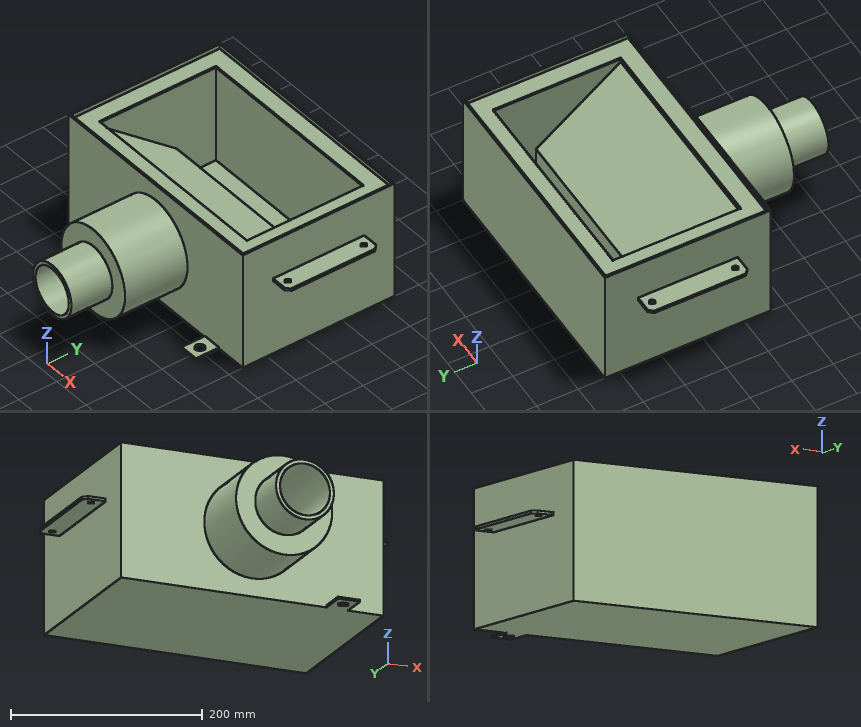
import cadquery as cq

box_length = 300.0
box_depth = 200.0
box_height = 150.0
sheet = 2.0

frame_drop = 6.0
frame_border = 23.0
frame_top = box_height - frame_drop
frame_bottom = frame_top - sheet

overall_length = 350
tab_reach = (overall_length - box_length) / 2
tab_width = 120.0
tab_thickness = 3.0
tab_top = 100.0
tab_chamfer = 5.0
tab_hole_diameter = 6.5
tab_hole_spacing = 100.0
tab_hole_inset = 12.5

lug_width = 25.0
lug_reach = 30.8
lug_thickness = sheet
lug_centre_x = 97.0
lug_hole_diameter = 11.2
lug_hole_reach = 15.8

cavity_length = box_length - 2 * frame_border
cavity_depth = box_depth - 2 * frame_border
cavity_floor = 19.0
step_distance = 51.8
step_height = 40.2
ramp_rise = 78.8

outlet_height = box_height / 2
sleeve_diameter = 110.0
sleeve_length = 82.2
pipe_diameter = 66.0
pipe_bore = 57.0
overall_depth = 336
pipe_length = overall_depth - box_depth

front_y = -box_depth / 2


def block(length, depth, bottom, top):
    """Upright block centred on the Z axis between two heights."""
    return cq.Workplane("XY", origin=(0, 0, bottom)).rect(length, depth).extrude(top - bottom)


def make_tab(side):
    """Mounting tab on one end of the casing: side is +1 or -1."""
    centre_x = side * (box_length + tab_reach) / 2
    outer_edges = ">X and |Z" if side > 0 else "<X and |Z"
    hole_x = side * (overall_length / 2 - tab_hole_inset)
    tab = (
        block(tab_reach, tab_width, tab_top - tab_thickness, tab_top)
        .edges(outer_edges)
        .chamfer(tab_chamfer)
        .translate((centre_x, 0, 0))
    )
    holes = (
        cq.Workplane("XY", origin=(hole_x, 0, tab_top - tab_thickness))
        .rarray(3.5, tab_hole_spacing, 1, 2)
        .circle(tab_hole_diameter / 2)
        .extrude(tab_thickness)
    )
    return tab.cut(holes)


def make_lug():
    """Drilled earthing lug, flush with the base."""
    lug = (
        cq.Workplane("XY")
        .center(lug_centre_x, front_y - lug_reach / 2)
        .rect(lug_width, lug_reach)
        .extrude(lug_thickness)
    )
    hole = (
        cq.Workplane("XY")
        .center(lug_centre_x, front_y - lug_hole_reach)
        .circle(lug_hole_diameter / 2)
        .extrude(lug_thickness)
    )
    return lug.cut(hole)


def make_casing():
    """Sheet box with its recessed frame, tabs and lug."""
    inner_length = box_length - 2 * sheet
    inner_depth = box_depth - 2 * sheet
    casing = (
        block(box_length, box_depth, 0, box_height)
        .cut(block(inner_length, inner_depth, frame_top, box_height))
        .cut(block(inner_length, inner_depth, sheet, frame_bottom))
        .cut(block(cavity_length, cavity_depth, frame_bottom, frame_top))
    )
    for side in (-1, 1):
        casing = casing.union(make_tab(side))
    return casing.union(make_lug())


def make_liner():
    """Block that fills the casing around the cavity, with a ramp at the front."""
    filling = block(box_length - 2 * sheet, box_depth - 2 * sheet, sheet, frame_bottom)
    cavity_back = cavity_depth / 2
    step_y = cavity_back - step_distance
    step_top = cavity_floor + step_height
    cavity = (
        cq.Workplane("YZ")
        .polyline(
            [
                (cavity_back, frame_bottom),
                (cavity_back, cavity_floor),
                (step_y, cavity_floor),
                (step_y, step_top),
                (-cavity_back, step_top + ramp_rise),
                (-cavity_back, frame_bottom),
            ]
        )
        .close()
        .extrude(cavity_length / 2, both=True)
    )
    return filling.cut(cavity)


def make_tube(outer_diameter, inner_diameter, length):
    """Tube standing on the front wall, pointing to -Y."""
    return (
        cq.Workplane("XZ", origin=(0, front_y, outlet_height))
        .circle(outer_diameter / 2)
        .circle(inner_diameter / 2)
        .extrude(length)
    )


casing = make_casing()
liner = make_liner()
sleeve = make_tube(sleeve_diameter, pipe_diameter, sleeve_length)
pipe = make_tube(pipe_diameter, pipe_bore, pipe_length)

result = cq.Compound.makeCompound([casing.val(), liner.val(), sleeve.val(), pipe.val()])